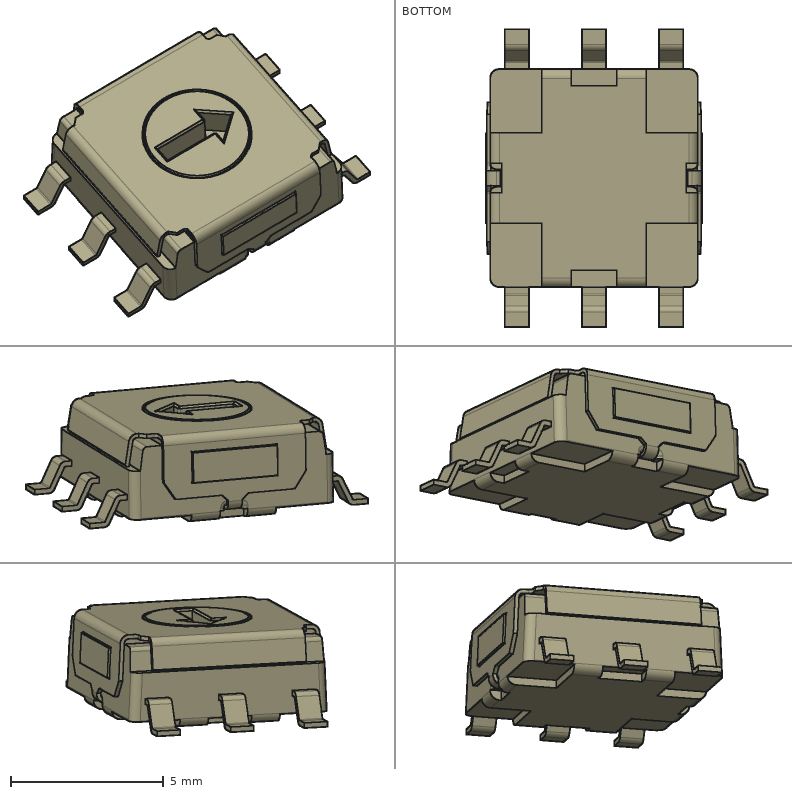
import cadquery as cq
import math


overall_x = 7.13
overall_y = 9.8
overall_z = 3.02
reach = overall_y

housing_foot_half_x = 3.43
housing_side_lean = 0.045
housing_half_y = 3.59
housing_corner_radius = 0.3
housing_bottom_radius = 0.3
ledge_z = 1.9
shoulder_z = 2.695
shoulder_half_y = 3.16
upper_foot_half_y = 3.27
shoulder_radius = 0.16

corner_notch_z = 0.26
arm_half_x = 1.72
arm_half_y = 1.49
front_notch_half_x = 0.74
notch_depth = 0.55
hook_opening_half_y = 0.29
hook_opening_radius = 0.04
hook_recess_floor_x = 3.04

sheet = 0.14
cover_top = 3.0
cover_inside_top = cover_top - sheet
bend_radius = 0.29
x_flap_half_y = 2.5
y_flap_half_x = 2.65
y_flap_top_half_y = 3.37
y_flap_lean = 0.16
y_flap_bottom = 1.91
y_flap_chamfer = 0.06

hook_bottom = 0.32
hook_end_x = 3.09
hook_radius = 0.32
lip_radius = hook_radius - sheet

flap_side_bottom = 1.47
flap_base_half_y = 2.1
flap_base_z = 0.88
tongue_root_half_y = 0.46
tongue_half_y = 0.245
tongue_root_z = 0.68
tongue_root_radius = 0.1

web_half_x = 2.86
web_shoulder_y = 2.86
web_tip_y = 3.07
web_root_radius = 0.12

boss_half_y = 1.48
boss_bottom = 1.4
boss_top = 2.4
window_gap = 0.03

rotor_face_diameter = 3.4
rotor_diameter = 3.5
cover_hole_diameter = 3.6
rotor_flange_diameter = 4.08
rotor_bottom = 1.67
arrow_depth = 0.98
arrow_chamfer = 0.07
arrow_chamfer_angle = 45
arrow_draft = 2
arrow_tip_y = 1.48
arrow_barb_y = 0.48
arrow_barb_half_x = 0.85
arrow_shaft_half_x = 0.35
arrow_tail_y = -1.46

lead_pitch = 2.54
lead_width = 0.8
lead_thickness = 0.18
lead_exit_top = 1.04
lead_knee_y = 3.95
lead_ankle_y = 4.37
lead_inner_radius = 0.05


def side_half_x(z):
    """Half width of the leaning X sides of the housing at height z."""
    return housing_foot_half_x - housing_side_lean * z


def box(x_range, y_range, z_range):
    """Axis-aligned block between the given limits."""
    (x0, x1), (y0, y1), (z0, z1) = x_range, y_range, z_range
    return cq.Workplane("XY").box(x1 - x0, y1 - y0, z1 - z0, centered=False).translate((x0, y0, z0))


def x_trapezoid(offset, bottom, top, half_length):
    """Block whose X sides run parallel to the housing sides, offset outwards."""
    low = side_half_x(bottom) + offset
    high = side_half_x(top) + offset
    return (
        cq.Workplane("XZ")
        .polyline([(-low, bottom), (low, bottom), (high, top), (-high, top)])
        .close()
        .extrude(half_length, both=True)
    )


def y_trapezoid(bottom_half_y, bottom, top_half_y, top, half_length):
    """Block with leaning Y sides."""
    return (
        cq.Workplane("YZ")
        .polyline([(-bottom_half_y, bottom), (bottom_half_y, bottom), (top_half_y, top), (-top_half_y, top)])
        .close()
        .extrude(half_length, both=True)
    )


def lead():
    """Gull-wing lead on the +Y side, centred on X = 0."""
    fall = math.atan2(lead_exit_top - lead_thickness, lead_ankle_y - lead_knee_y)
    shift = lead_thickness * math.tan(fall / 2)
    strip = (
        cq.Workplane("YZ")
        .moveTo(housing_half_y - housing_corner_radius, lead_exit_top)
        .lineTo(lead_knee_y, lead_exit_top)
        .lineTo(lead_ankle_y, lead_thickness)
        .lineTo(overall_y / 2, lead_thickness)
        .lineTo(overall_y / 2, 0)
        .lineTo(lead_ankle_y - shift, 0)
        .lineTo(lead_knee_y - shift, lead_exit_top - lead_thickness)
        .lineTo(housing_half_y - housing_corner_radius, lead_exit_top - lead_thickness)
        .close()
        .extrude(lead_width / 2, both=True)
    )
    outer_bends = [(lead_knee_y, lead_exit_top), (lead_ankle_y - shift, 0)]
    inner_bends = [
        (lead_knee_y - shift, lead_exit_top - lead_thickness),
        (lead_ankle_y, lead_thickness),
    ]
    for y, z in outer_bends:
        edge = cq.selectors.NearestToPointSelector((0, y, z))
        strip = strip.edges("|X").edges(edge).fillet(lead_inner_radius + lead_thickness)
    for y, z in inner_bends:
        edge = cq.selectors.NearestToPointSelector((0, y, z))
        strip = strip.edges("|X").edges(edge).fillet(lead_inner_radius)
    return strip


def housing_block():
    """Housing envelope: lower block, narrower shoulder and the pad that carries the cover."""
    x_form = x_trapezoid(0, 0, cover_inside_top, reach)
    x_form = x_form.edges("|Y").edges("<Z").fillet(housing_bottom_radius)
    x_form = x_form.edges("|Y").edges(">Z").fillet(bend_radius - sheet)

    lower = x_trapezoid(0, 0, ledge_z, housing_half_y)
    lower = lower.edges("not(|X or |Y)").fillet(housing_corner_radius)
    y_form = box((-reach, reach), (-housing_half_y, housing_half_y), (0, ledge_z))
    y_form = y_form.edges("|X").edges("<Z").fillet(housing_bottom_radius)
    lower = lower.intersect(x_form).intersect(y_form)
    upper = y_trapezoid(upper_foot_half_y, ledge_z, shoulder_half_y, shoulder_z, reach)
    upper = upper.edges("|X").edges(">Z").fillet(shoulder_radius).intersect(x_form)
    pad = box((-reach, reach), (-x_flap_half_y, x_flap_half_y), (shoulder_z, cover_inside_top))
    pad = pad.intersect(x_form)

    for sx in (-1, 1):
        for sy in (-1, 1):
            lower = lower.cut(corner_notch(sx, sy))
    return lower.union(upper).union(pad)


def corner_notch(sx, sy):
    """Block removed under one corner, which leaves a cross-shaped foot."""
    x_range = sorted((sx * arm_half_x, sx * reach))
    y_range = sorted((sy * arm_half_y, sy * reach))
    return box(x_range, y_range, (0, corner_notch_z))


def hook_recess(side):
    """Recess in one X side: an opening with a rounded lip for the hook, wider below the hook."""
    opening_top = hook_bottom + sheet
    margin = 2 * hook_radius
    top = opening_top + margin
    half_y = hook_opening_half_y + margin
    blank = x_trapezoid(0, -margin, top, half_y)
    opening = box(
        (hook_recess_floor_x, reach), (-hook_opening_half_y, hook_opening_half_y), (-reach, opening_top)
    )
    opening = opening.edges("|X").edges(">Z").fillet(hook_opening_radius)
    lip_edges = cq.selectors.BoxSelector(
        (side_half_x(top), -hook_opening_half_y - lip_radius, -margin / 2),
        (reach, hook_opening_half_y + lip_radius, opening_top + lip_radius),
    )
    lipped = blank.cut(opening).edges(lip_edges).fillet(lip_radius)
    slot_half_y = hook_opening_half_y + lip_radius
    slot = box((hook_recess_floor_x, reach), (-slot_half_y, slot_half_y), (0, hook_bottom))
    recess = blank.cut(lipped).union(slot)
    return recess if side > 0 else recess.mirror("YZ")


def latch_bosses():
    """Bosses on both X sides that stand through the windows of the cover."""
    offset = overall_x / 2 - side_half_x(boss_bottom)
    return x_trapezoid(offset, boss_bottom, boss_top, boss_half_y)


def make_housing():
    housing = housing_block()
    front_notch_y = housing_half_y - notch_depth
    for side in (-1, 1):
        housing = housing.cut(hook_recess(side))
        y_range = sorted((side * front_notch_y, side * reach))
        housing = housing.cut(
            box((-front_notch_half_x, front_notch_half_x), y_range, (0, corner_notch_z))
        )
    housing = housing.union(latch_bosses())
    bore = cq.Workplane("XY").workplane(offset=rotor_bottom).circle(rotor_flange_diameter / 2)
    housing = housing.cut(bore.extrude(overall_z))
    for x in (-lead_pitch, 0, lead_pitch):
        housing = housing.union(lead().translate((x, 0, 0)))
        housing = housing.union(lead().mirror("XZ").translate((x, 0, 0)))
    return housing


def x_flap_strip():
    """Top strip folded down both X sides, each flap ending in a hooked tongue."""
    outer = x_trapezoid(sheet, hook_bottom, cover_top, x_flap_half_y)
    outer = outer.edges("|Y").edges(">Z").fillet(bend_radius)
    outer = outer.edges("|Y").edges("<Z").fillet(hook_radius)
    inner = x_trapezoid(0, hook_bottom + sheet, cover_inside_top, reach)
    inner = inner.edges("|Y").edges(">Z").fillet(bend_radius - sheet)
    inner = inner.edges("|Y").edges("<Z").fillet(lip_radius)
    bottom_gap = box(
        (-hook_end_x, hook_end_x), (-reach, reach), (0, hook_bottom + hook_radius)
    )
    half = [
        (x_flap_half_y, overall_z),
        (x_flap_half_y, flap_side_bottom),
        (flap_base_half_y, flap_base_z),
        (tongue_root_half_y, flap_base_z),
        (tongue_half_y, tongue_root_z),
        (tongue_half_y, 0),
    ]
    outline = half + [(-y, z) for y, z in reversed(half)]
    flap_form = cq.Workplane("YZ").polyline(outline).close().extrude(reach, both=True)
    for y in (-tongue_root_half_y, tongue_root_half_y):
        root = cq.selectors.NearestToPointSelector((0, y, flap_base_z))
        flap_form = flap_form.edges("|X").edges(root).fillet(tongue_root_radius)
    return outer.cut(inner).cut(bottom_gap).intersect(flap_form)


def y_flap_strip():
    """Top strip folded down both Y sides."""
    def half_y(z):
        return y_flap_top_half_y + y_flap_lean * (cover_top - z)

    across = sheet * math.hypot(1, y_flap_lean)
    outer = y_trapezoid(half_y(y_flap_bottom), y_flap_bottom, half_y(cover_top), cover_top, y_flap_half_x)
    outer = outer.edges("|X").edges(">Z").fillet(bend_radius)
    outer = outer.edges("|X").edges("<Z").chamfer(y_flap_chamfer)
    inner = y_trapezoid(
        half_y(y_flap_bottom) - across,
        y_flap_bottom,
        half_y(cover_inside_top) - across,
        cover_inside_top,
        reach,
    )
    inner = inner.edges("|X").edges(">Z").fillet(bend_radius - sheet)
    return outer.cut(inner)


def corner_web(sx, sy):
    """Small piece of the top plate that joins two neighbouring flaps."""
    web_arc_y = x_flap_half_y + web_root_radius
    web_arc_x = web_half_x + web_root_radius
    web = (
        cq.Workplane("XY")
        .workplane(offset=cover_inside_top)
        .moveTo(0, 0)
        .lineTo(0, web_tip_y)
        .lineTo(y_flap_half_x, web_tip_y)
        .lineTo(web_half_x, web_shoulder_y)
        .lineTo(web_half_x, web_arc_y)
        .radiusArc((web_arc_x, x_flap_half_y), -web_root_radius)
        .lineTo(web_arc_x, 0)
        .close()
        .extrude(sheet)
    )
    if sx < 0:
        web = web.mirror("YZ")
    return web if sy > 0 else web.mirror("XZ")


def make_cover():
    cover = x_flap_strip().union(y_flap_strip())
    for sx in (-1, 1):
        for sy in (-1, 1):
            cover = cover.union(corner_web(sx, sy))
    window_half_y = boss_half_y + window_gap
    windows = box(
        (-reach, reach),
        (-window_half_y, window_half_y),
        (boss_bottom - window_gap, boss_top + window_gap),
    )
    hole = cq.Workplane("XY").circle(cover_hole_diameter / 2).extrude(overall_z)
    return cover.cut(windows).cut(hole)


def make_rotor():
    face_chamfer = (rotor_diameter - rotor_face_diameter) / 2
    flange_height = cover_inside_top - rotor_bottom
    rotor = (
        cq.Workplane("XY")
        .circle(rotor_diameter / 2)
        .extrude(overall_z - rotor_bottom)
        .faces(">Z")
        .chamfer(face_chamfer)
        .union(cq.Workplane("XY").circle(rotor_flange_diameter / 2).extrude(flange_height))
        .translate((0, 0, rotor_bottom))
    )
    half = [
        (arrow_shaft_half_x, arrow_tail_y),
        (arrow_shaft_half_x, arrow_barb_y),
        (arrow_barb_half_x, arrow_barb_y),
    ]
    outline = half + [(0, arrow_tip_y)] + [(-x, y) for x, y in reversed(half)]
    arrow = cq.Workplane("XY").workplane(offset=overall_z).polyline(outline).close()
    rim = arrow.extrude(-arrow_chamfer, taper=arrow_chamfer_angle)
    pocket = rim.faces("<Z").wires().toPending().extrude(arrow_chamfer - arrow_depth, taper=arrow_draft)
    return rotor.cut(pocket)


housing = make_housing()
cover = make_cover()
rotor = make_rotor()

result = cq.Compound.makeCompound([housing.val(), cover.val(), rotor.val()])